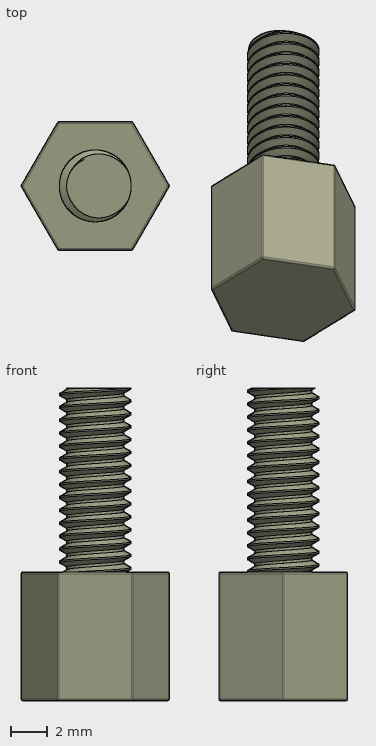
import cadquery as cq
import math

hex_sides = 6
across_flats = 7.0
body_height = 7.0
edge_radius = 0.1

stud_length = 10.0
major_diameter = 3.91
minor_diameter = 3.11
pitch = 0.7
flank_half_angle = math.radians(30)
crest_width = pitch / 8
overrun_turns = 2
root_overlap = 0.05

major_radius = major_diameter / 2
minor_radius = minor_diameter / 2
stud_top = body_height + stud_length


def make_body():
    """Hexagonal prism with two flats facing +Y and -Y and all edges rounded."""
    across_corners = across_flats / math.cos(math.pi / hex_sides)
    prism = cq.Workplane("XY").polygon(hex_sides, across_corners).extrude(body_height)
    return prism.edges().fillet(edge_radius)


def make_thread_ridge():
    """Helical ridge with a crest on the +X side at stud_top, running past both stud ends."""
    ridge_turns = math.ceil(stud_length / pitch) + overrun_turns
    ridge_height = ridge_turns * pitch
    ridge_start = stud_top + pitch - ridge_height

    inner_radius = minor_radius - root_overlap
    half_crest = crest_width / 2
    half_base = half_crest + (major_radius - inner_radius) * math.tan(flank_half_angle)
    profile = cq.Workplane("XZ").polyline(
        [
            (inner_radius, -half_base),
            (major_radius, -half_crest),
            (major_radius, half_crest),
            (inner_radius, half_base),
        ]
    ).close()

    helix = cq.Workplane(cq.Wire.makeHelix(pitch, ridge_height, minor_radius))
    return profile.sweep(helix, isFrenet=True).translate((0, 0, ridge_start))


def make_stud():
    """Core cylinder with the thread ridge trimmed flush at both ends."""
    stud_base = cq.Workplane("XY").workplane(offset=body_height)
    core = stud_base.circle(minor_radius).extrude(stud_length)
    trim_radius = 2 * major_radius
    trim_envelope = stud_base.circle(trim_radius).extrude(stud_length)
    return core.union(make_thread_ridge().intersect(trim_envelope))


result = make_body().union(make_stud())